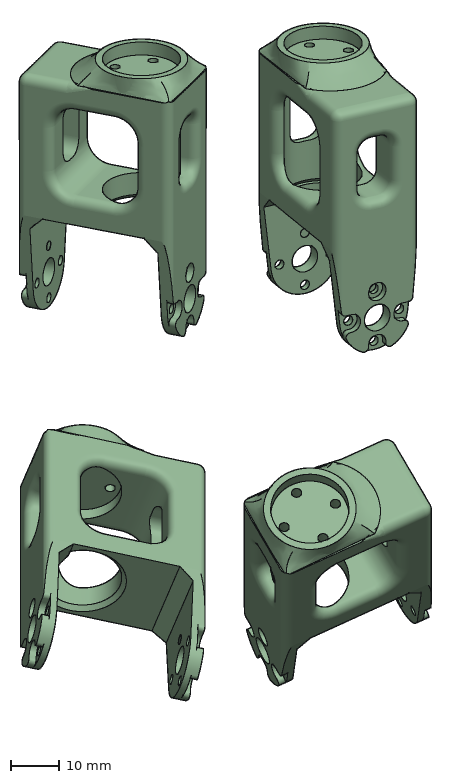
import cadquery as cq
import math

width = 35.0
depth = 20.0
height = 61.0
block_bottom = 25.0
block_top = 57.0
edge_radius = 2.0

leg_thickness = 3.0
gusset = 3.0
pivot_radius = 8.0
pivot_z = pivot_radius
pivot_hole_diameter = 6.0

screw_diameter = 2.1
screw_circle_radius = 6.0
head_diameter = 4.1
head_depth = 1.5
slot_flare_radius = 1.0
membrane = 0.3
membrane_inset = 0.05

front_window_width = 19.0
front_window_height = 20.0
front_window_radius = 5.0
front_window_z = 41.0
side_window_width = 8.0
side_window_height = 13.95
side_window_radius = 3.0
side_window_z = 42.0

neck_x = 6.5
neck_diameter = 19.2
foot_right = 10.8
foot_left = 15.0
foot_side = 9.65
foot_right_corner = (10.6, 9.9)
foot_left_corner = (-10.25, 9.5)
waist_right = 10.0
waist_left = 11.6
waist_side = 9.5
waist_right_corner = (8.9, 7.7)
waist_left_corner = (-8.6, 8.0)
recess_diameter = 16.2
recess_depth = 3.0
cavity_diameter = recess_diameter
cavity_top = 53.7
cavity_chamfer = 1.0

rounding_end_x = -6.1
rounding_fade_x = -0.3

half_width = width / 2
half_depth = depth / 2
leg_inner_x = half_width - leg_thickness


def cylinder(plane, origin, diameter, length):
    return cq.Workplane(plane, origin=origin).circle(diameter / 2).extrude(length)


def screw_pattern(plane, origin, length):
    """Four screw holes, a quarter turn apart."""
    holes = cq.Workplane(plane, origin=origin).polarArray(screw_circle_radius, 0, 360, 4)
    return holes.circle(screw_diameter / 2).extrude(length)


def side_profile():
    """Outline seen along X: a straight block tapering tangentially into the round leg end."""
    rise = block_bottom - pivot_z
    reach = math.hypot(half_depth, rise)
    tangent_angle = math.atan2(rise, half_depth) - math.acos(pivot_radius / reach)
    tangent_y = pivot_radius * math.cos(tangent_angle)
    tangent_z = pivot_z + pivot_radius * math.sin(tangent_angle)
    return (
        cq.Workplane("YZ")
        .moveTo(-half_depth, block_top)
        .lineTo(-half_depth, block_bottom)
        .lineTo(-tangent_y, tangent_z)
        .threePointArc((0, pivot_z - pivot_radius), (tangent_y, tangent_z))
        .lineTo(half_depth, block_bottom)
        .lineTo(half_depth, block_top)
        .close()
        .extrude(half_width, both=True)
    )


def leg_gap():
    """Space between the legs, leaving a 45 degree gusset under the block on each side."""
    gusset_x = leg_inner_x - gusset
    return (
        cq.Workplane("XZ")
        .moveTo(-leg_inner_x, 0)
        .lineTo(-leg_inner_x, block_bottom - gusset)
        .lineTo(-gusset_x, block_bottom)
        .lineTo(gusset_x, block_bottom)
        .lineTo(leg_inner_x, block_bottom - gusset)
        .lineTo(leg_inner_x, 0)
        .close()
        .extrude(half_depth, both=True)
    )


def edge_fade_cutter():
    """Waste above the -Y top edge where its rounding shrinks to a sharp edge."""
    section = (
        cq.Workplane("YZ", origin=(rounding_end_x, 0, 0))
        .moveTo(-half_depth, block_top - edge_radius)
        .radiusArc((-half_depth + edge_radius, block_top), edge_radius)
        .lineTo(-half_depth, block_top)
        .close()
    )
    end_face = cq.Face.makeFromWires(section.val())
    tip = cq.Vertex.makeVertex(rounding_fade_x, -half_depth, block_top)
    return cq.Workplane(cq.occ_impl.shapes.loft(end_face, tip, ruled=True))


def blank():
    """Solid bar with rounded uprights; its top edge is rounded only on the -X part."""
    sharp = cq.Workplane("XY").box(width, depth, block_top, centered=(True, True, False))
    sharp = sharp.edges("|Z").fillet(edge_radius)
    rounded = sharp.faces(">Z").edges().fillet(edge_radius)
    beyond_rounding = (
        cq.Workplane("XY", origin=(rounding_end_x, 0, 0))
        .box(width, depth, block_top, centered=(False, True, False))
    )
    fade = edge_fade_cutter()
    plain_end = sharp.intersect(beyond_rounding).cut(fade).cut(fade.mirror("XZ"))
    return rounded.cut(beyond_rounding).union(plain_end)


def cut_window(body, plane, center_z, across, tall, corner_radius):
    """Cut a straight-through window along the plane's normal and round its rim at both ends."""
    along_x = plane == "YZ"
    half_length = half_width if along_x else half_depth
    bore = (
        cq.Workplane(plane, origin=(0, 0, center_z))
        .rect(across, tall)
        .extrude(half_length, both=True)
        .edges("|X" if along_x else "|Y")
        .fillet(corner_radius)
    )
    body = body.cut(bore)
    margin = 0.05
    half_across = across / 2 + margin
    half_tall = tall / 2 + margin
    for end in (-half_length, half_length):
        near = end - margin
        far = end + margin
        if along_x:
            low = (near, -half_across, center_z - half_tall)
            high = (far, half_across, center_z + half_tall)
        else:
            low = (-half_across, near, center_z - half_tall)
            high = (half_across, far, center_z + half_tall)
        body = body.edges(cq.selectors.BoxSelector(low, high)).fillet(edge_radius)
    return body


def skirt_section(z, right_corner, left_corner, right_x, side_y, left_x):
    """Closed wire about the neck axis: four arcs joining corners that mirror across Y."""
    rx, ry = right_corner
    lx, ly = left_corner
    return (
        cq.Workplane("XY", origin=(neck_x, 0, z))
        .moveTo(rx, -ry)
        .threePointArc((right_x, 0), (rx, ry))
        .threePointArc((0, side_y), (lx, ly))
        .threePointArc((left_x, 0), (lx, -ly))
        .threePointArc((0, -side_y), (rx, -ry))
        .close()
        .val()
    )


def neck_skirt():
    """Concave skirt from a foot on the bar, through a waist, up to the collar circle."""
    radius = neck_diameter / 2
    corner = radius * math.sqrt(0.5)
    waist_z = (block_top + height) / 2
    foot = skirt_section(
        block_top, foot_right_corner, foot_left_corner, foot_right, foot_side, -foot_left
    )
    waist = skirt_section(
        waist_z, waist_right_corner, waist_left_corner, waist_right, waist_side, -waist_left
    )
    collar = skirt_section(height, (corner, corner), (-corner, corner), radius, radius, -radius)
    return cq.Workplane(cq.Solid.makeLoft([foot, waist, collar]))


def neck():
    """Collar and skirt, kept within the rounded corners of the bar."""
    corners = (
        cq.Workplane("XY", origin=(0, 0, block_top))
        .rect(width, depth)
        .extrude(height - block_top)
        .edges("|Z")
        .fillet(edge_radius)
    )
    collar = cylinder("XY", (neck_x, 0, block_top), neck_diameter, height - block_top)
    return neck_skirt().intersect(corners).union(collar)


def neck_bores():
    """Recess in the collar, the cavity below it and the four screw holes joining them."""
    floor_z = height - recess_depth
    cavity_bottom = block_bottom - gusset
    recess = cylinder("XY", (neck_x, 0, floor_z), recess_diameter, recess_depth)
    cavity = cylinder("XY", (neck_x, 0, cavity_bottom), cavity_diameter, cavity_top - cavity_bottom)
    screws = screw_pattern("XY", (neck_x, 0, cavity_top), floor_z - cavity_top)
    mouth = (
        cq.Workplane("XY", origin=(neck_x, 0, block_bottom))
        .circle(cavity_diameter / 2 + cavity_chamfer)
        .extrude(cavity_chamfer, taper=45)
    )
    return recess.union(cavity).union(mouth).union(screws)


def head_slots():
    """Screw head seats in the -X leg; three run out through the edge with a flared mouth."""
    start = (-half_width, 0, pivot_z)
    plate = side_profile().intersect(
        cq.Workplane("YZ", origin=start).rect(2 * depth, 4 * pivot_radius).extrude(head_depth)
    )
    upper_seat = (-half_width, 0, pivot_z + screw_circle_radius)
    slots = cylinder("YZ", upper_seat, head_diameter, head_depth)
    run_out = 2 * head_diameter
    for angle in (0, 180, 270):
        slot = (
            cq.Workplane("YZ", origin=start)
            .center(screw_circle_radius + run_out / 2, 0)
            .slot2D(run_out + head_diameter, head_diameter)
            .extrude(head_depth)
            .rotate(start, (0, 0, pivot_z), angle)
        )
        slots = slots.union(slot)
    mouth_reach = screw_circle_radius + slot_flare_radius
    side_top = pivot_z + head_diameter
    box = cq.selectors.BoxSelector
    mouths = plate.cut(slots).edges("|X").edges(
        box((-width, -depth, -0.6), (0, -mouth_reach, side_top))
        + box((-width, mouth_reach, -0.6), (0, depth, side_top))
        + box((-width, -head_diameter, -0.6), (0, head_diameter, pivot_z - mouth_reach))
    )
    return plate.cut(mouths.fillet(slot_flare_radius))


def leg_bores():
    """Pivot hole, screw holes and head seats of the -X leg; a thin skin closes the upper hole."""
    start = (-half_width, 0, pivot_z)
    pivot = cylinder("YZ", start, pivot_hole_diameter, leg_thickness)
    screws = screw_pattern("YZ", start, leg_thickness)
    membrane_x = -leg_inner_x - membrane_inset - membrane
    upper_z = pivot_z + screw_circle_radius
    skin = cylinder("YZ", (membrane_x, 0, upper_z), screw_diameter, membrane)
    return pivot.union(screws).cut(skin).union(head_slots())


bores = leg_bores()
result = blank().intersect(side_profile()).cut(leg_gap())
result = cut_window(
    result, "XZ", front_window_z, front_window_width, front_window_height, front_window_radius
)
result = cut_window(
    result, "YZ", side_window_z, side_window_width, side_window_height, side_window_radius
)
result = result.union(neck()).cut(neck_bores())
result = result.cut(bores).cut(bores.mirror("YZ"))